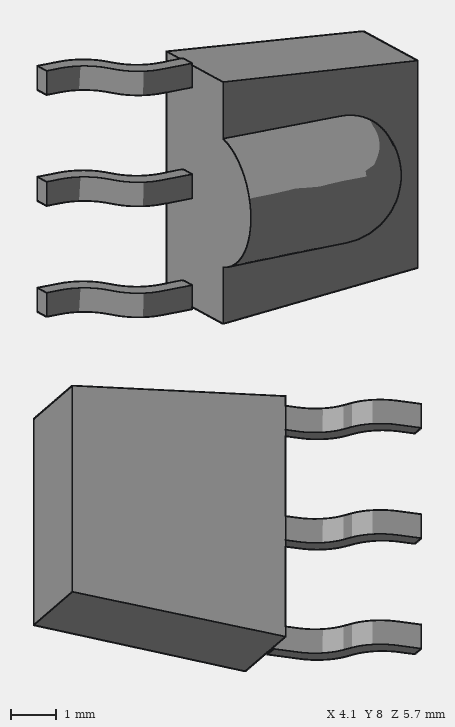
import cadquery as cq
import math


body_length = 5.0
base_thickness = 2.42
end_thickness = 2.32
base_height = 5.6
end_height = 4.8
body_left = 0.5
body_center_x = body_left + base_thickness / 2

part_width = 4.1
lens_base_radius = 1.53
dome_radius = 1.5
barrel_length = 3.0
lens_center_x = part_width - lens_base_radius

lead_length = 3.0
lead_thickness = 0.4
lead_width = 0.56
lead_pitch = 2.57
lead_offset = 1.2
bend_radius = 1.0
bend_angle = math.radians(60)
edge_stagger = 0.21

bend_dx = bend_radius * (1 - math.cos(bend_angle))
bend_dy = bend_radius * math.sin(bend_angle)
slope_dx = lead_offset - 2 * bend_dx
slope_dy = slope_dx / math.tan(bend_angle)
crank_dy = 2 * bend_dy + slope_dy
straight_length = (lead_length - crank_dy) / 2


def make_body():
    return (
        cq.Workplane("XZ", origin=(body_center_x, 0, 0))
        .rect(base_thickness, base_height)
        .workplane(offset=-body_length)
        .rect(end_thickness, end_height)
        .loft(combine=True)
    )


def make_lens():
    """Barrel and dome revolved about an axis parallel to Y."""
    half_diagonal = dome_radius * math.sqrt(0.5)
    return (
        cq.Workplane("XY", origin=(lens_center_x, 0, 0))
        .lineTo(lens_base_radius, 0)
        .lineTo(dome_radius, barrel_length)
        .threePointArc(
            (half_diagonal, barrel_length + half_diagonal),
            (0, barrel_length + dome_radius),
        )
        .close()
        .revolve(360, (0, 0, 0), (0, 1, 0))
    )


def crank_points(x, y):
    """Points along one crank edge that starts at its lower end (x, y)."""
    half_bend = bend_angle / 2
    mid_dx = bend_radius * (1 - math.cos(half_bend))
    mid_dy = bend_radius * math.sin(half_bend)
    top_x = x + lead_offset
    top_y = y + crank_dy
    return [
        (x, y),
        (x + mid_dx, y + mid_dy),
        (x + bend_dx, y + bend_dy),
        (top_x - bend_dx, top_y - bend_dy),
        (top_x - mid_dx, top_y - mid_dy),
        (top_x, top_y),
    ]


def make_lead(z):
    """One cranked lead centered at height z."""
    lower_bend_y = straight_length - lead_length
    left = crank_points(0, lower_bend_y)
    right = crank_points(lead_thickness, lower_bend_y - edge_stagger)
    right.reverse()
    profile = (
        cq.Workplane("XY", origin=(0, 0, z - lead_width / 2))
        .moveTo(0, -lead_length)
        .lineTo(*left[0])
        .threePointArc(left[1], left[2])
        .lineTo(*left[3])
        .threePointArc(left[4], left[5])
        .lineTo(lead_offset, 0)
        .lineTo(lead_offset + lead_thickness, 0)
        .lineTo(*right[0])
        .threePointArc(right[1], right[2])
        .lineTo(*right[3])
        .threePointArc(right[4], right[5])
        .lineTo(lead_thickness, -lead_length)
        .close()
    )
    return profile.extrude(lead_width)


result = make_body().union(make_lens())
for position in (-1, 0, 1):
    result = result.union(make_lead(position * lead_pitch))